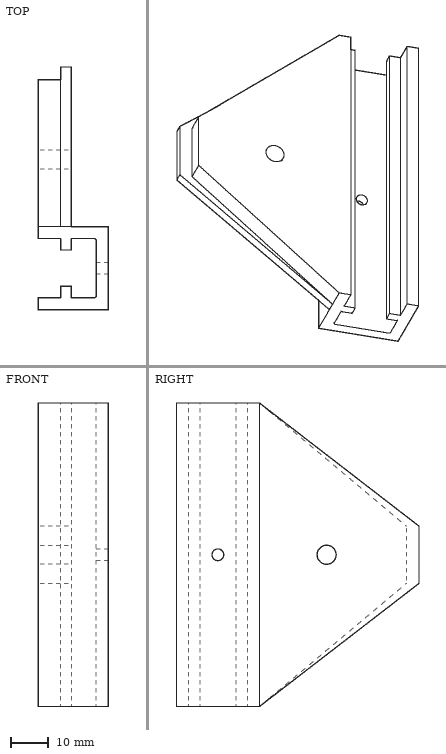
import cadquery as cq

height = 80.0
width = 18.5
depth = 64.0

channel_depth = 21.9
wall = 3.2
inner_corner_radius = 0.5
screw_hole_diameter = 3.0

rib_offset = 5.9
rib_thickness = 2.8
rib_height = 3.0

tip_height = 15.0
lip_overhang = 3.4
wing_hole_diameter = 5.0
wing_hole_from_tip = 24.4


def make_box(x, y, size_x, size_y):
    """Full-height bar with its lowest X and Y corner at (x, y)."""
    return cq.Workplane("XY").box(size_x, size_y, height, centered=(False, False, True)).translate((x, y, 0))


def make_wing_layer(x, thickness, tip_y):
    """Plate tapering from the full height at the channel to the tip."""
    return (
        cq.Workplane("YZ", origin=(x, 0, 0))
        .moveTo(channel_depth, -height / 2)
        .lineTo(tip_y, -tip_height / 2)
        .lineTo(tip_y, tip_height / 2)
        .lineTo(channel_depth, height / 2)
        .close()
        .extrude(thickness)
    )


def make_cross_hole(y, diameter):
    """Cutter along X through the whole width at mid-height."""
    return cq.Workplane("YZ", origin=(0, y, 0)).circle(diameter / 2).extrude(width)


cavity_depth = channel_depth - 2 * wall
cavity = make_box(0, wall, width - wall, cavity_depth).edges("|Z and >X").fillet(inner_corner_radius)
channel = make_box(0, 0, width, channel_depth).cut(cavity)

for rib_y in (wall, channel_depth - wall - rib_height):
    channel = channel.union(make_box(rib_offset, rib_y, rib_thickness, rib_height))

thick_layer = make_wing_layer(0, rib_offset, depth - lip_overhang)
lip_layer = make_wing_layer(rib_offset, rib_thickness, depth)

wing_hole = make_cross_hole(depth - wing_hole_from_tip, wing_hole_diameter)
screw_hole = make_cross_hole(channel_depth / 2, screw_hole_diameter)

result = channel.union(thick_layer).union(lip_layer).cut(wing_hole).cut(screw_hole)